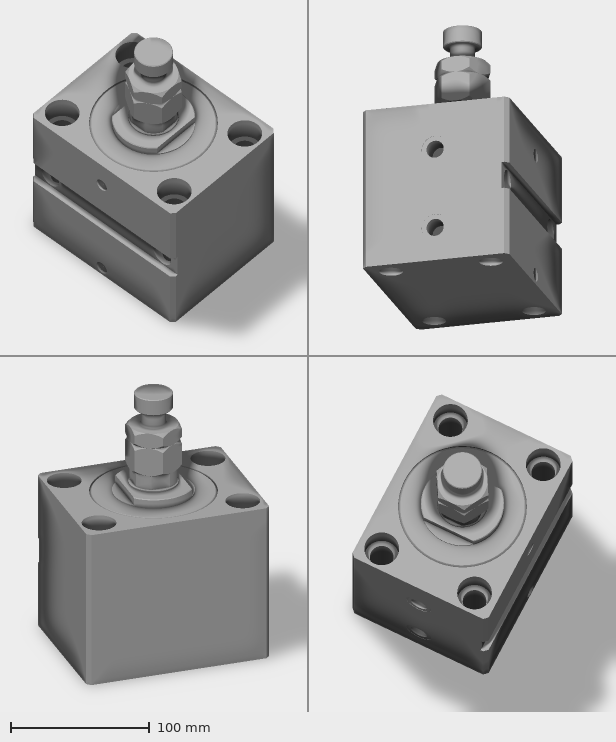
import cadquery as cq
import math

TOTAL_HEIGHT = 199.0
BLOCK_LENGTH = 140.0
BLOCK_WIDTH = 110.0
BLOCK_HEIGHT = 120.0
CORNER_CHAMFER = 3.0

SLOT_HEIGHT = 19.9
SLOT_DEPTH = 5.0
SLOT_BOTTOM = 50.1

MOUNT_SPACING_X = 110.0
MOUNT_SPACING_Y = 75.0
MOUNT_DIAMETER = 17.1
MOUNT_HEAD_DIAMETER = 25.0
MOUNT_HEAD_DEPTH = 18.0
CROSS_DIAMETER = 17.3
CROSS_DEPTH = 12.0
CROSS_Z = 60.0

PORT_HEIGHTS = (25.0, 85.0)
PORT_DIAMETER = 13.0
PORT_DEPTH = 16.0
PORT_FACE_DIAMETER = 20.0
PORT_FACE_DEPTH = 0.2
BLEED_HEIGHTS = (7.2, 98.3)
BLEED_DIAMETER = 10.0
BLEED_DEPTH = 1.5
PILOT_DIAMETER = 1.0
PILOT_DEPTH = 2.0

GROOVE_OUTER_DIAMETER = 93.0
GROOVE_INNER_DIAMETER = 89.7
GROOVE_DEPTH = (GROOVE_OUTER_DIAMETER - GROOVE_INNER_DIAMETER) / 2
BOSS_DIAMETER = 60.0
BOSS_HEIGHT = 7.2
BOSS_EDGE_CHAMFER = 0.5
BOSS_ACROSS_FLATS = 44.4
BOSS_RIM_HEIGHT = 1.0
COLLAR_DIAMETER = 36.6
COLLAR_CHAMFER = 0.5
COLLAR_HEIGHT = 1.8

ROD_DIAMETER = 35.0
ROD_ACROSS_FLATS = 32.0

HEX_ACROSS_FLATS = 36.2
HEX_CHAMFER_ANGLE = 45.0
NUT_HEIGHT = 22.0
PIN_HEX_HEIGHT = 12.0
STUD_DIAMETER = 24.0
NECK_DIAMETER = 18.1
NECK_LENGTH = 12.3
NECK_FILLET = 1.4
HEAD_DIAMETER = 28.0
HEAD_HEIGHT = 12.5
HEAD_CHAMFER = 0.5

BOSS_TOP = BLOCK_HEIGHT + BOSS_HEIGHT
COLLAR_TOP = BOSS_TOP + COLLAR_HEIGHT
HEAD_BOTTOM = TOTAL_HEIGHT - HEAD_HEIGHT
PIN_HEX_TOP = HEAD_BOTTOM - NECK_LENGTH
NUT_TOP = PIN_HEX_TOP - PIN_HEX_HEIGHT
ROD_TOP = NUT_TOP - NUT_HEIGHT
STUD_BOTTOM = COLLAR_TOP


def cylinder(diameter, bottom, top):
    return cq.Workplane("XY").workplane(offset=bottom).circle(diameter / 2).extrude(top - bottom)


def front_hole(x, y, z, diameter, depth):
    """Round cutter that runs in +Y from the point (x, y, z)."""
    return cq.Workplane(cq.Solid.makeCylinder(diameter / 2, depth, cq.Vector(x, y, z), cq.Vector(0, 1, 0)))


def side_hole(x, z, diameter, depth):
    """Round cutter that runs in +X from the point (x, 0, z)."""
    return cq.Workplane(cq.Solid.makeCylinder(diameter / 2, depth, cq.Vector(x, 0, z), cq.Vector(1, 0, 0)))


def chamfered_hexagon(bottom, height):
    """Hexagon with corners on the Y axis, its corners turned off conically at both ends."""
    corner_radius = HEX_ACROSS_FLATS / math.sqrt(3)
    flat_radius = HEX_ACROSS_FLATS / 2
    drop = (corner_radius - flat_radius) * math.tan(math.radians(HEX_CHAMFER_ANGLE))
    hexagon = (
        cq.Workplane("XY")
        .workplane(offset=bottom)
        .transformed(rotate=(0, 0, 90))
        .polygon(6, 2 * corner_radius)
        .extrude(height)
    )
    envelope = (
        cq.Workplane("XZ")
        .moveTo(0, bottom)
        .lineTo(flat_radius, bottom)
        .lineTo(corner_radius, bottom + drop)
        .lineTo(corner_radius, bottom + height - drop)
        .lineTo(flat_radius, bottom + height)
        .lineTo(0, bottom + height)
        .close()
        .revolve(360, (0, 0), (0, 1))
    )
    return hexagon.intersect(envelope)


def make_housing():
    front = -BLOCK_WIDTH / 2
    left = -BLOCK_LENGTH / 2
    housing = (
        cq.Workplane("XY")
        .box(BLOCK_LENGTH, BLOCK_WIDTH, BLOCK_HEIGHT, centered=(True, True, False))
        .edges("|Z")
        .chamfer(CORNER_CHAMFER)
    )

    slot = cq.Workplane("XY").box(BLOCK_LENGTH, SLOT_DEPTH, SLOT_HEIGHT, centered=(True, False, False))
    housing = housing.cut(slot.translate((0, front, SLOT_BOTTOM)))

    housing = (
        housing.faces(">Z")
        .workplane(origin=(0, 0, BLOCK_HEIGHT))
        .rarray(MOUNT_SPACING_X, MOUNT_SPACING_Y, 2, 2)
        .cboreHole(MOUNT_DIAMETER, MOUNT_HEAD_DIAMETER, MOUNT_HEAD_DEPTH)
    )
    for x in (-MOUNT_SPACING_X / 2, MOUNT_SPACING_X / 2):
        housing = housing.cut(front_hole(x, front, CROSS_Z, CROSS_DIAMETER, CROSS_DEPTH))

    for z in PORT_HEIGHTS:
        housing = housing.cut(side_hole(left, z, PORT_FACE_DIAMETER, PORT_FACE_DEPTH))
        housing = housing.cut(side_hole(left, z, PORT_DIAMETER, PORT_DEPTH))
        housing = housing.cut(side_hole(left, z, PILOT_DIAMETER, PORT_DEPTH + PILOT_DEPTH))
    for z in BLEED_HEIGHTS:
        housing = housing.cut(front_hole(0, front, z, BLEED_DIAMETER, BLEED_DEPTH))
        housing = housing.cut(front_hole(0, front, z, PILOT_DIAMETER, BLEED_DEPTH + PILOT_DEPTH))

    groove = (
        cq.Workplane("XZ")
        .moveTo(GROOVE_INNER_DIAMETER / 2, BLOCK_HEIGHT)
        .lineTo(GROOVE_OUTER_DIAMETER / 2, BLOCK_HEIGHT - GROOVE_DEPTH)
        .lineTo(GROOVE_OUTER_DIAMETER / 2, BLOCK_HEIGHT)
        .close()
        .revolve(360, (0, 0), (0, 1))
    )
    housing = housing.cut(groove)

    rim_top = BLOCK_HEIGHT + BOSS_RIM_HEIGHT
    boss = cylinder(BOSS_DIAMETER, BLOCK_HEIGHT, BOSS_TOP).faces(">Z").edges().chamfer(BOSS_EDGE_CHAMFER)
    flats = (
        cq.Workplane("XY")
        .workplane(offset=rim_top)
        .rect(BOSS_ACROSS_FLATS, BOSS_DIAMETER)
        .extrude(BOSS_TOP - rim_top)
    )
    boss = boss.intersect(cylinder(BOSS_DIAMETER, BLOCK_HEIGHT, rim_top).union(flats))
    collar = cylinder(COLLAR_DIAMETER, BOSS_TOP, COLLAR_TOP).faces(">Z").edges().chamfer(COLLAR_CHAMFER)
    housing = housing.union(boss).union(collar)
    return housing.cut(cylinder(ROD_DIAMETER, BLOCK_HEIGHT, COLLAR_TOP))


def make_rod():
    """Round in the collar, with four spanner flats above it and a socket for the pin's stud."""
    base = cylinder(ROD_DIAMETER, BLOCK_HEIGHT, COLLAR_TOP)
    shank = cylinder(ROD_DIAMETER, COLLAR_TOP, ROD_TOP)
    square = (
        cq.Workplane("XY")
        .workplane(offset=COLLAR_TOP)
        .rect(ROD_ACROSS_FLATS, ROD_ACROSS_FLATS)
        .extrude(ROD_TOP - COLLAR_TOP)
    )
    rod = base.union(shank.intersect(square))
    return rod.cut(cylinder(STUD_DIAMETER, STUD_BOTTOM, ROD_TOP))


def make_nut():
    return chamfered_hexagon(ROD_TOP, NUT_HEIGHT).cut(cylinder(STUD_DIAMETER, ROD_TOP, NUT_TOP))


def make_pin():
    """Stud, hexagon, necked shaft with filleted ends, and round coupling head."""
    stud = cylinder(STUD_DIAMETER, STUD_BOTTOM, NUT_TOP)
    hexagon = chamfered_hexagon(NUT_TOP, PIN_HEX_HEIGHT)
    neck_radius = NECK_DIAMETER / 2
    flare_radius = neck_radius + NECK_FILLET
    neck = (
        cq.Workplane("XZ")
        .moveTo(0, PIN_HEX_TOP)
        .lineTo(flare_radius, PIN_HEX_TOP)
        .radiusArc((neck_radius, PIN_HEX_TOP + NECK_FILLET), NECK_FILLET)
        .lineTo(neck_radius, HEAD_BOTTOM - NECK_FILLET)
        .radiusArc((flare_radius, HEAD_BOTTOM), NECK_FILLET)
        .lineTo(0, HEAD_BOTTOM)
        .close()
        .revolve(360, (0, 0), (0, 1))
    )
    head = cylinder(HEAD_DIAMETER, HEAD_BOTTOM, TOTAL_HEIGHT).edges().chamfer(HEAD_CHAMFER)
    return stud.union(hexagon).union(neck).union(head)


housing = make_housing()
rod = make_rod()
nut = make_nut()
pin = make_pin()

result = cq.Compound.makeCompound([housing.val(), rod.val(), nut.val(), pin.val()])